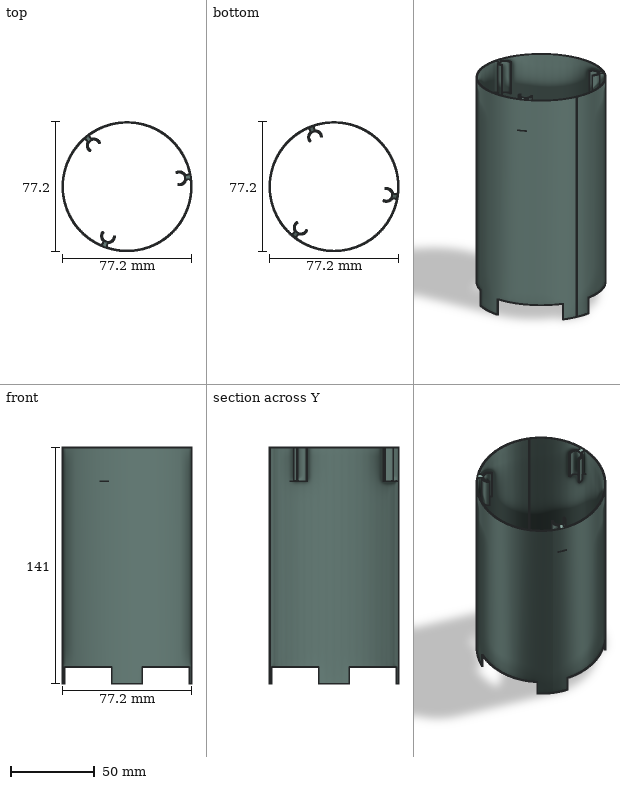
import cadquery as cq
import math

height = 141.0
outer_radius = 38.6
wall = 0.5
inner_radius = outer_radius - wall
slit_width = 0.4
tab_width = 18.3
tab_height = 10.0

clip_count = 3
first_clip_angle = 9.0
clip_length = 20.0
clip_outer_radius = 4.2
clip_inner_radius = 3.4
clip_offset = 31.6
mouth_half_angle = 72.0
neck_width = 2.8
neck_fillet = 1.1


def ring(outer, inner, length):
    return cq.Workplane("XY").circle(outer).circle(inner).extrude(length)


def make_tube():
    tube = ring(outer_radius, inner_radius, height)
    corner_size = outer_radius
    corner_center = (tab_width + corner_size) / 2
    corners = (
        cq.Workplane("XY")
        .rect(2 * corner_center, 2 * corner_center, forConstruction=True)
        .vertices()
        .rect(corner_size, corner_size)
        .extrude(tab_height)
    )
    slit = (
        cq.Workplane("XY")
        .center(-outer_radius, 0)
        .rect(4 * wall, slit_width)
        .extrude(height)
    )
    return tube.cut(corners).cut(slit)


def make_neck():
    half_width = neck_width / 2
    arc_y = half_width + neck_fillet
    arc_center_radius = inner_radius - neck_fillet
    arc_x = math.sqrt(arc_center_radius**2 - arc_y**2)
    wall_angle = math.atan2(arc_y, arc_x)
    wall_x = inner_radius * math.cos(wall_angle)
    wall_y = inner_radius * math.sin(wall_angle)
    middle_angle = (wall_angle - math.pi / 2) / 2
    middle_x = arc_x + neck_fillet * math.cos(middle_angle)
    middle_y = arc_y + neck_fillet * math.sin(middle_angle)
    buried_radius = inner_radius + wall / 2
    buried_x = buried_radius * math.cos(wall_angle)
    buried_y = buried_radius * math.sin(wall_angle)
    return (
        cq.Workplane("XY")
        .moveTo(clip_offset, -half_width)
        .lineTo(arc_x, -half_width)
        .threePointArc((middle_x, -middle_y), (wall_x, -wall_y))
        .lineTo(buried_x, -buried_y)
        .threePointArc((buried_radius, 0), (buried_x, buried_y))
        .lineTo(wall_x, wall_y)
        .threePointArc((middle_x, middle_y), (arc_x, half_width))
        .lineTo(clip_offset, half_width)
        .close()
        .extrude(clip_length)
    )


def make_clip():
    mouth_depth = 2 * clip_outer_radius
    mouth_half_width = mouth_depth * math.tan(math.radians(mouth_half_angle))
    mouth = (
        cq.Workplane("XY")
        .polyline([(0, 0), (-mouth_depth, mouth_half_width), (-mouth_depth, -mouth_half_width)])
        .close()
        .extrude(clip_length)
    )
    open_ring = ring(clip_outer_radius, clip_inner_radius, clip_length).cut(mouth)
    bore = cq.Workplane("XY").center(clip_offset, 0).circle(clip_inner_radius).extrude(clip_length)
    neck = make_neck().cut(bore)
    return open_ring.translate((clip_offset, 0, 0)).union(neck)


result = make_tube()
clip = make_clip().translate((0, 0, height - clip_length))
for index in range(clip_count):
    angle = first_clip_angle + index * 360 / clip_count
    result = result.union(clip.rotate((0, 0, 0), (0, 0, 1), angle))